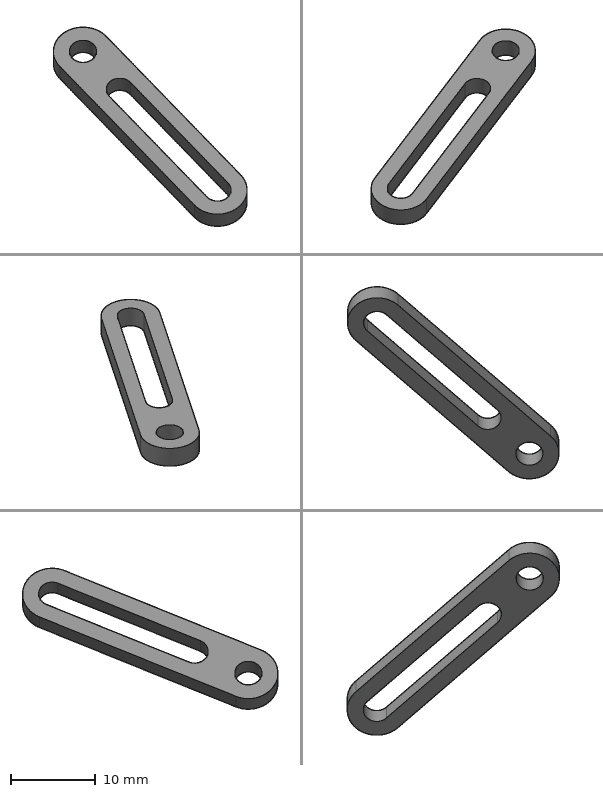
import cadquery as cq

length = 32.5
width = 7.0
thickness = 2.5
hole_diameter = 3.2
slot_width = hole_diameter
hole_to_slot = 7.0

end_center_x = (length - width) / 2
slot_near_x = -end_center_x + hole_to_slot
slot_far_x = end_center_x
slot_center_x = (slot_near_x + slot_far_x) / 2
slot_length = slot_far_x - slot_near_x + slot_width

link = cq.Workplane("XY").slot2D(length, width).extrude(thickness)

hole = (
    cq.Workplane("XY")
    .center(-end_center_x, 0)
    .circle(hole_diameter / 2)
    .extrude(thickness)
)

slot = (
    cq.Workplane("XY")
    .center(slot_center_x, 0)
    .slot2D(slot_length, slot_width)
    .extrude(thickness)
)

result = link.cut(hole).cut(slot)